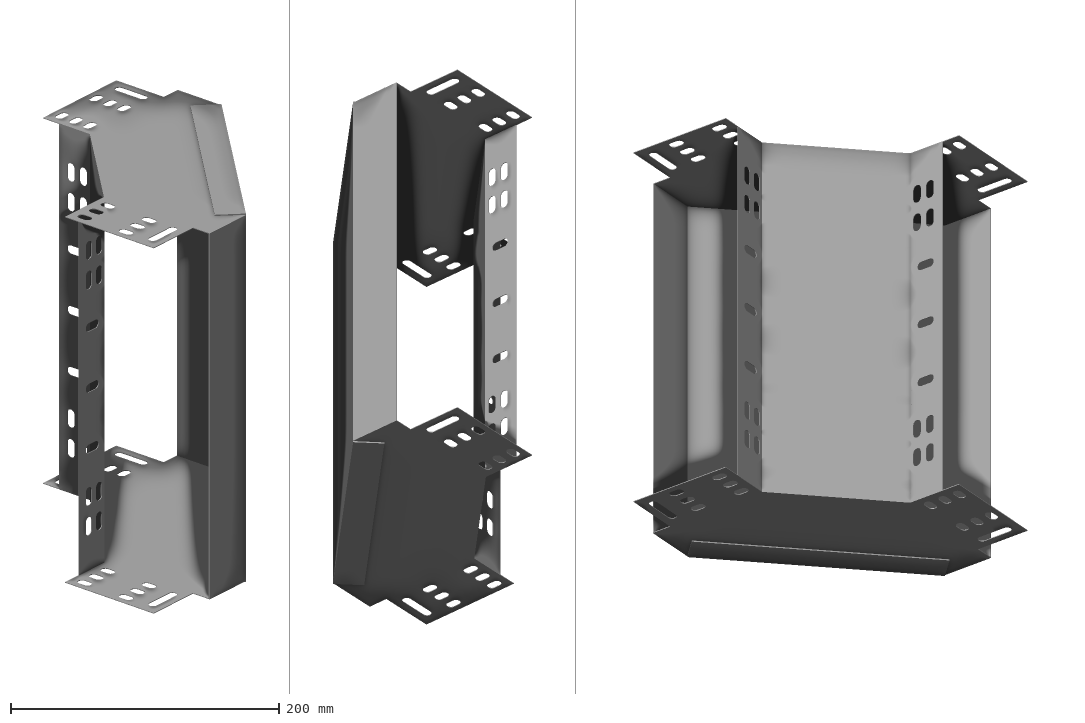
import cadquery as cq
import math


overall = 226.37
inside_height = 300.0
outside_width = 102.0
run = 45.37
outer_bend = 88.4
inner_face = overall - outside_width
half_bend = math.radians(45 / 2)

channel_sheet = 0.6
cover_sheet = 1.0
plate_top = inside_height / 2 + channel_sheet
cover_fold = cover_sheet * math.tan(half_bend)
channel_fold = channel_sheet * math.tan(half_bend)

tongue_length = 46.0
tongue_width = 85.8
tongue_edge = inner_face + tongue_width

ear_length = 30.0
ear_start = run - ear_length

lip_depth = 23.4

slot_width = 7.0
cross_slot_length = 12.0
cross_slot_along = (8.5, 22.0, 35.5)
cross_slot_across = (12.0, 52.0)
long_slot_length = 30.0
long_slot_along = 23.0
long_slot_across = 75.5

ear_slot_length = 15.0
upright_slot_along = (27.0, 39.0)
upright_slot_heights = (-113.5, -89.0, 89.0, 113.5)
level_slot_along = 31.0
level_slot_heights = (-50.0, 0.0, 50.0)


def with_mirror(points):
    """Complete a symmetric outline by adding the points with X and Y swapped, in reverse order."""
    return points + [(y, x) for x, y in reversed(points)]


def prism(points, bottom, top):
    """Upright prism over an outline."""
    return cq.Workplane("XY").workplane(offset=bottom).polyline(points).close().extrude(top - bottom)


def folded_wall(outside, inside):
    """Upright wall as high as the plates, between the first halves of its two mirrored faces."""
    outline = with_mirror(outside) + with_mirror(inside)[::-1]
    return prism(outline, -plate_top, plate_top)


def inner_wall():
    """Wall on the inside of the elbow, with an ear at each end."""
    back = inner_face + channel_sheet
    return folded_wall(
        [(ear_start, inner_face), (run, inner_face)],
        [(ear_start, back), (run + channel_fold, back)],
    )


def plate_outline():
    """Plate between the inner wall face and the inside of the outer wall, with two end tongues."""
    return with_mirror(
        [
            (run, inner_face),
            (0, inner_face),
            (0, tongue_edge),
            (tongue_length, tongue_edge),
            (tongue_length, overall - cover_sheet),
            (outer_bend - cover_fold, overall - cover_sheet),
        ]
    )


def slots(plane, points, length, angle, depth):
    """Slot cutters of one kind at the given points of a plane."""
    return plane.pushPoints(points).slot2D(length, slot_width, angle).extrude(depth)


def tongue_slots():
    """Cutters for the tongues at the -X end, through both plates."""
    plane = cq.Workplane("XY").workplane(offset=-plate_top)
    cross_points = [(x, inner_face + y) for x in cross_slot_along for y in cross_slot_across]
    long_point = [(long_slot_along, inner_face + long_slot_across)]
    cross = slots(plane, cross_points, cross_slot_length, 90, 2 * plate_top)
    lengthwise = slots(plane, long_point, long_slot_length, 0, 2 * plate_top)
    return [cross, lengthwise]


def ear_slots():
    """Cutters for the ear at the -X end."""
    plane = cq.Workplane("XZ", origin=(0, inner_face + channel_sheet, 0))
    upright_points = [(x, z) for x in upright_slot_along for z in upright_slot_heights]
    level_points = [(level_slot_along, z) for z in level_slot_heights]
    upright = slots(plane, upright_points, ear_slot_length, 90, channel_sheet)
    level = slots(plane, level_points, ear_slot_length, 0, channel_sheet)
    return [upright, level]


def build_channel():
    """Inner wall with the top and bottom plates, slotted at both ends."""
    body = inner_wall()
    for bottom in (-plate_top, inside_height / 2):
        body = body.union(prism(plate_outline(), bottom, bottom + channel_sheet))
    for cutter in tongue_slots() + ear_slots():
        other_end = cutter.mirror((1, -1, 0))
        body = body.cut(cutter).cut(other_end)
    return body


def lip_outline():
    """Rectangle along the 45 degree section, ending one fold short of each bend."""
    reach = lip_depth / math.sqrt(2)
    end_inset = cover_fold / math.sqrt(2)
    corner_x = outer_bend + end_inset
    corner_y = overall - end_inset
    return with_mirror([(corner_x - reach, corner_y - reach), (corner_x, corner_y)])


def build_outer_wall():
    """Outer wall with a lip lying on the outside of each plate."""
    inside = overall - cover_sheet
    body = folded_wall(
        [(tongue_length, overall), (outer_bend, overall)],
        [(tongue_length, inside), (outer_bend - cover_fold, inside)],
    )
    for bottom in (-plate_top - cover_sheet, plate_top):
        body = body.union(prism(lip_outline(), bottom, bottom + cover_sheet))
    return body


channel = build_channel()
outer_wall = build_outer_wall()
result = cq.Compound.makeCompound([channel.val(), outer_wall.val()])